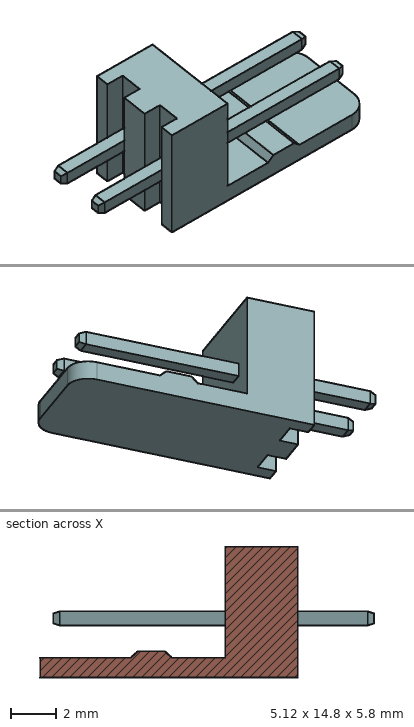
import cadquery as cq

width = 5.12
length = 14.8
height = 5.8

block_back = 3.37
block_front = 6.6

groove_width = 1.15
groove_depth = 0.89

plate_thickness = 0.89
corner_radius = 0.99

ridge_start = 8.95
ridge_end = 10.77
ridge_height = 0.28
ridge_slope_run = 0.31

pin_pitch = 2.55
pin_size = 0.64
pin_length = 14.21
pin_height = 2.62
tip_length = 0.3
tip_size = 0.45

pin_positions = (-pin_pitch / 2, pin_pitch / 2)


def make_block():
    """Upright housing with a full-height groove behind each pin."""
    depth = block_front - block_back
    block = cq.Workplane("XY").box(width, depth, height, centered=(True, False, False))
    for x in pin_positions:
        groove = cq.Workplane("XY").box(
            groove_width, groove_depth, height, centered=(True, False, False)
        )
        block = block.cut(groove.translate((x, 0, 0)))
    return block.translate((0, block_back, 0))


def make_plate():
    """Flat plate in front of the block, with rounded free corners."""
    plate = cq.Workplane("XY").box(
        width, length - block_front, plate_thickness, centered=(True, False, False)
    )
    return plate.edges("|Z and >Y").fillet(corner_radius).translate((0, block_front, 0))


def make_ridge():
    """Trapezoidal ridge running across the full width of the plate."""
    ridge_top = plate_thickness + ridge_height
    return (
        cq.Workplane("YZ")
        .moveTo(ridge_start, plate_thickness)
        .lineTo(ridge_start + ridge_slope_run, ridge_top)
        .lineTo(ridge_end - ridge_slope_run, ridge_top)
        .lineTo(ridge_end, plate_thickness)
        .close()
        .extrude(width / 2, both=True)
    )


def make_pin(x):
    """Square pin along Y with a tapered tip at each end."""
    shaft_length = pin_length - 2 * tip_length
    shaft = cq.Workplane("XY").box(pin_size, shaft_length, pin_size)
    pin = shaft
    for end in ("<Y", ">Y"):
        tip = (
            shaft.faces(end)
            .workplane()
            .rect(pin_size, pin_size)
            .workplane(offset=tip_length)
            .rect(tip_size, tip_size)
            .loft(combine=False)
        )
        pin = pin.union(tip)
    return pin.translate((x, pin_length / 2, pin_height))


result = make_block().union(make_plate()).union(make_ridge())
for pin_x in pin_positions:
    result = result.union(make_pin(pin_x))